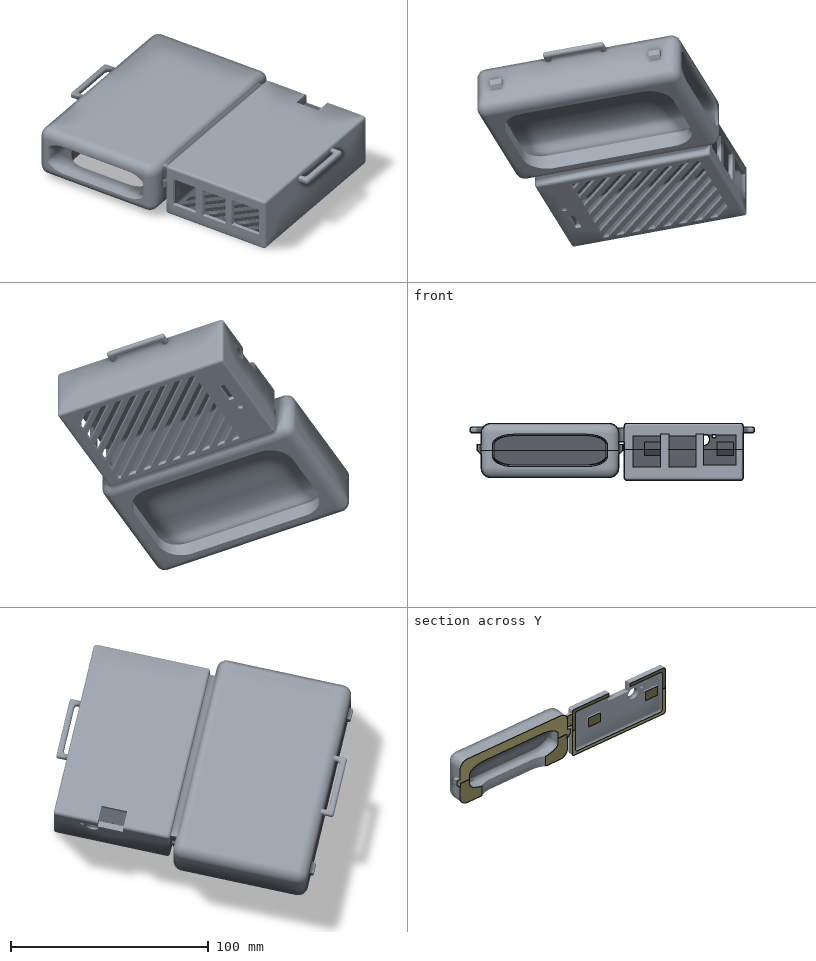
import cadquery as cq

whole_width = 143.6

case_x = -31.5
case_z = 0.7
case_width = 69.5
case_length = 108.3
case_height = 27.5
case_round = 5.0
case_wall = 3.0
case_left = case_x - case_width / 2
case_right = case_x + case_width / 2
case_front = -case_length / 2

mouth_half_width = 28.3
mouth_half_height = 7.5
mouth_end_length = 9.9
mouth_end_rise = 4.6
mouth_chamfer = 0.7

floor_window_width = 53.0
floor_window_length = 89.6
floor_window_round = 13.0

case_clip_reach = 2.0
case_clip_ramp = 2.6
case_clip_rise = 3.0
case_clip_width = 6.0
case_clip_y = 42.2

box_left = 6.0
box_right = 66.2
box_x = (box_left + box_right) / 2
box_length = 93.4
box_height = 28.9
box_round = 1.5
box_wall = 2.0
box_back_wall = 3.0
box_seam_z = 1.1
box_front = -box_length / 2
box_back = box_length / 2

port_windows = [
    (10.5, 24.3, -7.6, 8.0),
    (28.6, 42.2, -7.6, 8.0),
    (46.1, 62.6, -6.6, 8.6),
]
tongue_top = 9.0

notch_left = 30.0
notch_right = 43.2
notch_depth = 9.3
notch_bottom = tongue_top

jack_x = 46.0
jack_z = 6.3
jack_radius = 3.2
pinhole_x = 51.4
pinhole_z = 8.0
pinhole_radius = 0.93

box_clip_lefts = [16.4, 53.0]
box_clip_width = 8.2
box_clip_rise = 3.7
box_clip_ramp = 2.9

vent_width = 52.1
vent_front = -40.0
vent_back = 28.7
vent_pitch = 5.9
vent_slot_width = vent_pitch / 2
vent_first = 63.8
vent_slot_count = 16

screw_x = 31.0
screw_y = 39.2
screw_radius = 1.5
card_slot_left = 37.8
card_slot_length = 11.5
card_slot_width = 3.0
card_slot_back = screw_y

hinge_half_length = 44.2
hinge_bottom = 5.0
hinge_top = 12.0

handle_half_length = 16.1
handle_bar = 3.2
handle_arm = 2.9
handle_thickness = 3.0
handle_z = 11.0
handle_round = 1.1
handle_inner_round = 1.5
handle_end = whole_width / 2


def block(x0, x1, y0, y1, z0, z1):
    return cq.Workplane("XY").box(x1 - x0, y1 - y0, z1 - z0, centered=False).translate((x0, y0, z0))


def below(z):
    """Everything under a seam at the given height."""
    reach = whole_width
    return block(-reach, reach, -reach, reach, -reach, z)


def case_envelope():
    solid = cq.Workplane("XY").box(case_width, case_length, case_height)
    return solid.edges().fillet(case_round).translate((case_x, 0, case_z))


def mouth_outline(y, grow):
    """Closed outline with four elliptical corners, in the plane at the given Y."""
    a = mouth_end_length + grow
    b = mouth_end_rise + grow
    dx = mouth_half_width - mouth_end_length
    dz = mouth_half_height - mouth_end_rise
    spots = [(dx, dz), (-dx, dz), (-dx, -dz), (dx, -dz)]
    corners = []
    for quarter, (sx, sz) in enumerate(spots):
        centre = cq.Vector(case_x + sx, y, case_z + sz)
        corners.append(
            cq.Edge.makeEllipse(
                a, b, centre, cq.Vector(0, -1, 0), cq.Vector(1, 0, 0),
                90 * quarter, 90 * quarter + 90, 1,
            )
        )
    edges = []
    for corner, following in zip(corners, corners[1:] + corners[:1]):
        edges += [corner, cq.Edge.makeLine(corner.endPoint(), following.startPoint())]
    return cq.Wire.assembleEdges(edges)


def case_cavity():
    lip_y = case_front + mouth_chamfer
    tunnel_length = case_length - case_wall - mouth_chamfer
    tunnel = cq.Solid.extrudeLinear(mouth_outline(lip_y, 0), [], cq.Vector(0, tunnel_length, 0))
    flare = cq.Solid.makeLoft([mouth_outline(case_front, mouth_chamfer), mouth_outline(lip_y, 0)], True)
    return cq.Workplane(tunnel.fuse(flare))


def floor_window():
    depth = case_height / 2
    opening = cq.Workplane("XY").box(floor_window_width, floor_window_length, depth)
    opening = opening.edges("|Z").fillet(floor_window_round)
    return opening.translate((case_x, 0, case_z - depth / 2))


def case_clip(side, y):
    """Wedge through the case side: side is -1 on the left and 1 on the right."""
    tip = case_x + side * (case_width / 2 + case_clip_reach)
    root = tip - side * case_clip_ramp
    profile = [
        (tip, case_z + case_clip_rise),
        (tip, case_z),
        (root, case_z - case_clip_ramp),
        (root, case_z + case_clip_rise),
    ]
    wedge = cq.Workplane("XZ").polyline(profile).close().extrude(case_clip_width / 2, both=True)
    return wedge.translate((0, y, 0))


def case_halves():
    shell = case_envelope().cut(case_cavity()).cut(floor_window())
    upper = shell.cut(below(case_z))
    lower = shell.intersect(below(case_z))
    for side in (-1, 1):
        for y in (-case_clip_y, case_clip_y):
            clip = case_clip(side, y)
            upper = upper.union(clip)
            lower = lower.cut(clip)
    return upper, lower


def box_shell():
    outer = cq.Workplane("XY").box(box_right - box_left, box_length, box_height).edges().fillet(box_round)
    inner = block(
        box_left + box_wall, box_right - box_wall,
        box_front + box_wall, box_back - box_back_wall,
        box_wall - box_height / 2, box_height / 2 - box_wall,
    )
    return outer.translate((box_x, 0, 0)).cut(inner.edges().fillet(box_round))


def floor_cutter(x0, x1, y0, y1):
    bottom = -box_height / 2
    return block(x0, x1, y0, y1, bottom, bottom + 2 * box_wall)


def vent_slots():
    """Diagonal slots through the floor, trimmed to a rectangle."""
    area = floor_cutter(box_x - vent_width / 2, box_x + vent_width / 2, vent_front, vent_back)
    slots = []
    for index in range(vent_slot_count):
        near_edge = vent_first - index * vent_pitch
        slot = block(
            -box_length, box_length, -near_edge - vent_slot_width, -near_edge, -box_height, box_height
        )
        slots.append(area.intersect(slot.rotate((0, 0, 0), (0, 0, 1), 45)))
    return slots


def box_clip(left):
    """Wedge on the inside of the back wall."""
    face = box_back - box_back_wall
    profile = [
        (face, box_seam_z + box_clip_rise),
        (face - box_clip_ramp, box_seam_z + box_clip_rise),
        (face - box_clip_ramp, box_seam_z),
        (face, box_seam_z - box_clip_ramp),
    ]
    return cq.Workplane("YZ").polyline(profile).close().extrude(box_clip_width).translate((left, 0, 0))


def back_hole(x, z, radius):
    drill = cq.Workplane("XZ").center(x, z).circle(radius).extrude(-box_back_wall)
    return drill.translate((0, box_back - box_back_wall, 0))


def front_windows():
    """The port windows in the front wall."""
    windows = []
    for left, right, bottom, top in port_windows:
        windows.append(block(left, right, box_front, box_front + box_wall, bottom, top))
    return windows


def front_tongues():
    """The posts between neighbouring windows that rise from the lower half into the upper one."""
    tongues = []
    for window, following in zip(port_windows, port_windows[1:]):
        left = window[1]
        right = following[0]
        tongues.append(block(left, right, box_front, box_front + box_wall, box_seam_z, tongue_top))
    return tongues


def box_upper_half(shell):
    upper = shell.cut(below(box_seam_z))
    for tongue in front_tongues():
        upper = upper.cut(tongue)
    notch = block(
        notch_left, notch_right, box_back - notch_depth, box_back, notch_bottom, box_height / 2
    )
    upper = upper.cut(notch)
    upper = upper.cut(back_hole(jack_x, jack_z, jack_radius))
    upper = upper.cut(back_hole(pinhole_x, pinhole_z, pinhole_radius))
    for left in box_clip_lefts:
        upper = upper.union(box_clip(left))
    return upper


def box_lower_half(shell):
    lower = shell.intersect(below(box_seam_z))
    for tongue in front_tongues():
        lower = lower.union(tongue)
    for slot in vent_slots():
        lower = lower.cut(slot)
    screw_hole = cq.Workplane("XY").center(screw_x, screw_y).circle(screw_radius).extrude(-box_height / 2)
    card_slot = floor_cutter(
        card_slot_left, card_slot_left + card_slot_length, card_slot_back - card_slot_width, card_slot_back
    )
    return lower.cut(screw_hole).cut(card_slot)


def box_halves():
    shell = box_shell()
    for window in front_windows():
        shell = shell.cut(window)
    return box_upper_half(shell), box_lower_half(shell)


def hinge_strip():
    strip = block(
        case_right - case_round, box_left, -hinge_half_length, hinge_half_length, hinge_bottom, hinge_top
    )
    return strip.cut(case_envelope())


def handle(root):
    """U-shaped bar on the right that reaches from the given X to the handle end."""
    low = handle_z - handle_thickness / 2
    high = handle_z + handle_thickness / 2
    inside = handle_half_length - handle_arm
    grip = block(root, handle_end, -handle_half_length, handle_half_length, low, high)
    gap = block(root, handle_end - handle_bar, -inside, inside, low, high)
    grip = grip.cut(gap.edges("|Z and >X").fillet(handle_inner_round))
    grip = grip.edges("|Z and >X").fillet(handle_round)
    return grip.faces("<Z or >Z").edges("not(<X)").fillet(handle_round)


case_upper, case_lower = case_halves()
box_upper, box_lower = box_halves()
hinge = hinge_strip()
right_handle = handle(box_right)
left_handle = handle(-case_left - case_round).mirror("YZ").cut(case_envelope())

result = cq.Compound.makeCompound(
    [
        case_upper.val(),
        case_lower.val(),
        box_upper.val(),
        box_lower.val(),
        hinge.val(),
        left_handle.val(),
        right_handle.val(),
    ]
)